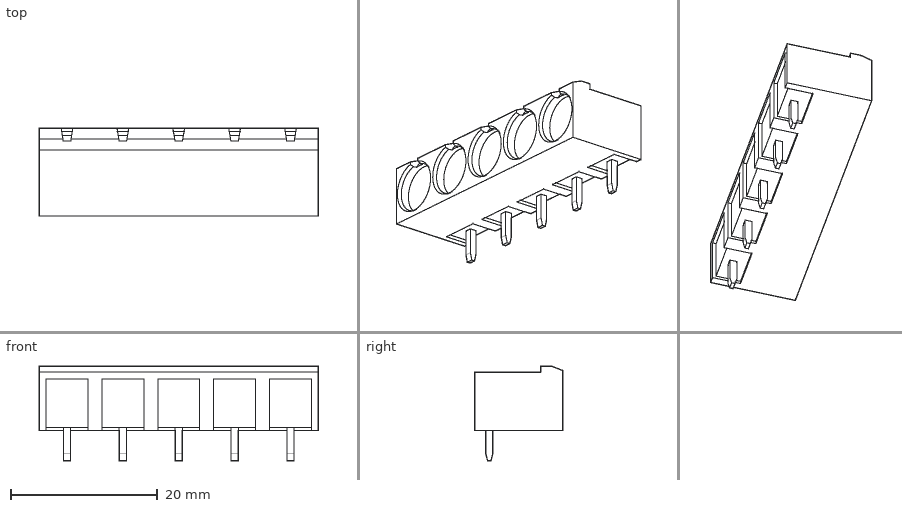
import cadquery as cq


poles = 5
length = 38.05
pitch = length / poles

depth = 12.0
height = 8.8
step_drop = 0.8
rail_depth = 3.0
slope_depth = 1.5
slope_drop = 0.57
front = -depth / 2
rear = depth / 2

pin_size = 1.0
pin_length = 4.1
pin_tip_size = pin_size / 2
pin_taper = 1.03
pin_setback = 1.98

pocket_width = 5.7
pocket_top = 7.08
pocket_depth = 0.5
back_wall_bottom = 0.45
recess_depth = 2 * pin_setback

hole_radius = 3.35
hole_top = 7.7
hole_depth = 1.75
mouth_depth = 0.5
mouth_flare = 0.23

slot_rear_width = 1.6
slot_end_width = 1.03
slot_top_depth = 1.75
slot_bottom_depth = 1.0


def make_housing():
    """Extrude the side profile, with its stepped deck and sloped rail, along the row."""
    deck = height - step_drop
    return (
        cq.Workplane("YZ", origin=(-length / 2, 0, 0))
        .polyline([
            (front, 0),
            (front, deck),
            (rear - rail_depth, deck),
            (rear - rail_depth, height),
            (rear - slope_depth, height),
            (rear, height - slope_drop),
            (rear, 0),
        ])
        .close()
        .extrude(length)
    )


def make_pocket(x):
    """Shallow front pocket that turns under the pole into a bottom recess."""
    face = cq.Workplane().box(pocket_width, pocket_depth, pocket_top, centered=(True, False, False))
    base = cq.Workplane().box(pocket_width, recess_depth, back_wall_bottom, centered=(True, False, False))
    return face.union(base).translate((x, front, 0))


def make_pin(x):
    """Square pin whose tip narrows in Y only."""
    half = pin_size / 2
    half_tip = pin_tip_size / 2
    axis = front + pin_setback
    return (
        cq.Workplane("YZ", origin=(x - half, 0, 0))
        .polyline([
            (axis - half, back_wall_bottom),
            (axis + half, back_wall_bottom),
            (axis + half, pin_taper - pin_length),
            (axis + half_tip, -pin_length),
            (axis - half_tip, -pin_length),
            (axis - half, pin_taper - pin_length),
        ])
        .close()
        .extrude(pin_size)
    )


def make_rear_hole(x):
    """Round blind hole with a flared mouth, revolved about an axis along Y."""
    axis_height = hole_top - hole_radius
    return (
        cq.Workplane("XY", origin=(x, rear, axis_height))
        .polyline([
            (0, 0),
            (hole_radius + mouth_flare, 0),
            (hole_radius, -mouth_depth),
            (hole_radius, -hole_depth),
            (0, -hole_depth),
        ])
        .close()
        .revolve(360, (0, 0, 0), (0, 1, 0))
    )


def make_slot(x):
    """Upright-sided slot, narrowing toward the front, with a leaning end wall that meets the hole."""
    slot_floor = hole_top - hole_radius
    plan = (
        cq.Workplane("XY", origin=(x, rear, slot_floor))
        .polyline([
            (-slot_rear_width / 2, 0),
            (slot_rear_width / 2, 0),
            (slot_end_width / 2, -slot_top_depth),
            (-slot_end_width / 2, -slot_top_depth),
        ])
        .close()
        .extrude(height - slot_floor)
    )
    side = (
        cq.Workplane("YZ", origin=(x - slot_rear_width / 2, 0, 0))
        .polyline([
            (rear, slot_floor),
            (rear - slot_bottom_depth, slot_floor),
            (rear - slot_bottom_depth, hole_top),
            (rear - slot_top_depth, height),
            (rear, height),
        ])
        .close()
        .extrude(slot_rear_width)
    )
    return plan.intersect(side)


result = make_housing()
for pole in range(poles):
    x = (pole - (poles - 1) / 2) * pitch
    result = result.cut(make_pocket(x)).cut(make_rear_hole(x)).cut(make_slot(x)).union(make_pin(x))